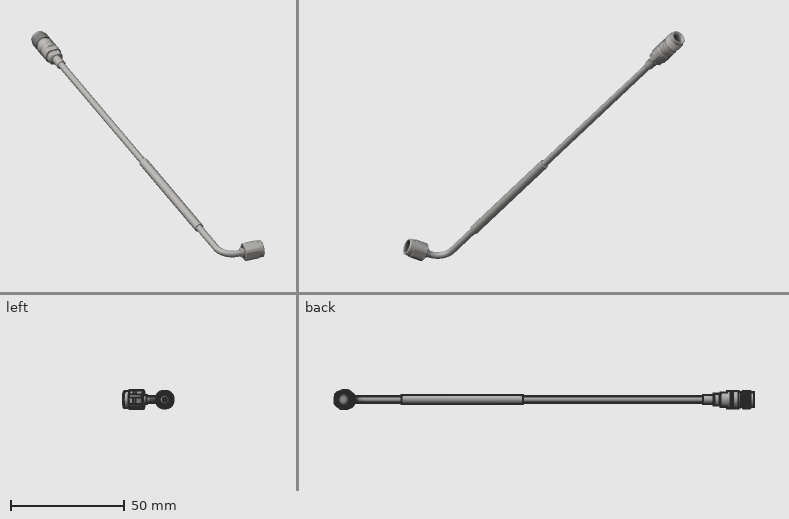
import cadquery as cq
import math


OVERALL_LENGTH = 185.7

CABLE_RADIUS = 1.5
BEND_RADIUS = 8.0
BEND_ANGLE = 82.5

SLEEVE_START = 102.3
SLEEVE_END = 156.0
SLEEVE_RADIUS = 2.0

JACK_RIM_RADIUS = 3.3
JACK_RIM_LENGTH = 1.7
RING_OUTER_RADIUS = 3.9
RING_ROOT_RADIUS = 3.5
RING_COUNT = 6
RING_PITCH = 0.5
RING_END = JACK_RIM_LENGTH + RING_COUNT * RING_PITCH
NECK_RADIUS = 3.0
NECK_END = 5.8
COLLAR_FRONT_RADIUS = 3.3
COLLAR_BACK_RADIUS = 3.5
COLLAR_END = 6.9
BARREL_RADIUS = 3.9
BARREL_END = 14.9
BARREL_GROOVE_START = 9.3
BARREL_GROOVE_END = 10.4
BARREL_GROOVE_DEPTH = 0.28
BARREL_FLAT_START = 12.0
BARREL_ACROSS_FLATS = 6.5
BACK_NUT_RADIUS = 3.3
BACK_NUT_NECK_RADIUS = 2.6
BACK_NUT_START = 15.5
BACK_NUT_END = 18.0
BACK_NUT_CHAMFER = 0.5
BACK_NUT_ACROSS_FLATS = 5.4
JACK_TUBE_RADIUS = 2.0
JACK_END = 22.7
SOCKET_RADIUS = 2.2
SOCKET_DEPTH = 4.6
SOCKET_MOUTH_CHAMFER = 0.5
CONTACT_HOLE_RADIUS = 0.7
CONTACT_HOLE_DEPTH = 2.8

PLUG_START = 1.0
PLUG_RADIUS = 2.0
NUT_START = 2.5
HEX_END = 8.5
NUT_END = 11.1
HEX_SIDES = 6
FLAT_SPACING = 360 / HEX_SIDES
HEX_ACROSS_FLATS = 8.0
HEX_CORNER_RADIUS = 4.3
HEX_TURN = 23.0
NUT_RIM_DIAMETER = 7.6
NUT_BORE_RADIUS = 3.0
NUT_GROOVE_DIAMETER = 7.2
NUT_GROOVE_START = 5.5
NUT_GROOVE_END = 6.7
NUT_BACK_CHAMFER = 0.4
NUT_TIP_CHAMFER = 0.4
PLUG_SHOULDER_LENGTH = 2.8

CABLE_START = BACK_NUT_END
CABLE_END = NUT_START
BEND_TURN = math.radians(BEND_ANGLE)
FLAT_HALF_ANGLE = math.acos(HEX_ACROSS_FLATS / 2 / HEX_CORNER_RADIUS)
CORNER_ANGLE = math.radians(HEX_TURN + FLAT_SPACING) + FLAT_HALF_ANGLE
CORNER_REACH = HEX_CORNER_RADIUS * math.sin(CORNER_ANGLE)
BEND_END_X = OVERALL_LENGTH - HEX_END * math.cos(BEND_TURN) - CORNER_REACH * math.sin(BEND_TURN)
BEND_END_Y = BEND_RADIUS * (1 - math.cos(BEND_TURN))
BEND_START = BEND_END_X - BEND_RADIUS * math.sin(BEND_TURN)


def x_cylinder(radius, start, end):
    """A cylinder on the X axis between two X positions."""
    return cq.Workplane("YZ", origin=(start, 0, 0)).circle(radius).extrude(end - start)


def plug_plane(distance):
    """The plane square to the plug axis, at a distance past the end of the bend."""
    along = cq.Vector(math.cos(BEND_TURN), math.sin(BEND_TURN), 0)
    origin = cq.Vector(BEND_END_X, BEND_END_Y, 0) + along * distance
    return cq.Plane(origin=origin, xDir=(0, 0, 1), normal=along)


def plug_cylinder(radius, start, end):
    """A cylinder on the plug axis between two distances past the bend."""
    return cq.Workplane(plug_plane(start)).circle(radius).extrude(end - start)


def make_cable():
    """One round cable: straight run, bend, and a short end inside the plug."""
    path = (
        cq.Workplane("XY")
        .moveTo(CABLE_START, 0)
        .lineTo(BEND_START, 0)
        .radiusArc((BEND_END_X, BEND_END_Y), -BEND_RADIUS)
        .polarLine(CABLE_END, BEND_ANGLE)
    )
    return cq.Workplane("YZ", origin=(CABLE_START, 0, 0)).circle(CABLE_RADIUS).sweep(path)


def make_sleeve():
    """The marker sleeve, a tube fitted round the cable."""
    tube = x_cylinder(SLEEVE_RADIUS, SLEEVE_START, SLEEVE_END)
    return tube.cut(x_cylinder(CABLE_RADIUS, SLEEVE_START, SLEEVE_END))


def cut_flats(body, radius, across_flats, start, end):
    """Cut a pair of flats, square to Z, from X = start to X = end."""
    length = end - start
    height = across_flats / 2
    depth = radius - height
    middle_x = (start + end) / 2
    for side in (1, -1):
        cutter = cq.Workplane("XY").box(length, 2 * radius, depth)
        body = body.cut(cutter.translate((middle_x, 0, side * (height + depth / 2))))
    return body


def make_ringed_front():
    """The front of the jack: plain rim, V-shaped rings, neck and collar."""
    profile = cq.Workplane("XY").moveTo(0, 0).lineTo(0, JACK_RIM_RADIUS)
    profile = profile.lineTo(JACK_RIM_LENGTH, JACK_RIM_RADIUS)
    for i in range(RING_COUNT):
        ring_start = JACK_RIM_LENGTH + i * RING_PITCH
        profile = profile.lineTo(ring_start, RING_ROOT_RADIUS)
        profile = profile.lineTo(ring_start + RING_PITCH / 2, RING_OUTER_RADIUS)
    profile = profile.lineTo(RING_END, RING_ROOT_RADIUS).lineTo(RING_END, NECK_RADIUS)
    profile = profile.lineTo(NECK_END, NECK_RADIUS).lineTo(NECK_END, COLLAR_FRONT_RADIUS)
    profile = profile.lineTo(COLLAR_END, COLLAR_BACK_RADIUS).lineTo(COLLAR_END, 0).close()
    return profile.revolve(360, (0, 0, 0), (1, 0, 0))


def make_barrel():
    """The main barrel with a shallow V groove and two wrench flats."""
    barrel = x_cylinder(BARREL_RADIUS, COLLAR_END, BARREL_END)
    middle = (BARREL_GROOVE_START + BARREL_GROOVE_END) / 2
    groove = (
        cq.Workplane("XY")
        .moveTo(BARREL_GROOVE_START, BARREL_RADIUS)
        .lineTo(middle, BARREL_RADIUS - BARREL_GROOVE_DEPTH)
        .lineTo(BARREL_GROOVE_END, BARREL_RADIUS)
        .close()
        .revolve(360, (0, 0, 0), (1, 0, 0))
    )
    barrel = barrel.cut(groove)
    return cut_flats(barrel, BARREL_RADIUS, BARREL_ACROSS_FLATS, BARREL_FLAT_START, BARREL_END)


def make_back_nut():
    """The stepped back of the jack with its own pair of flats."""
    back = x_cylinder(BACK_NUT_RADIUS, BACK_NUT_START, BACK_NUT_END)
    back = back.faces(">X").chamfer(BACK_NUT_CHAMFER)
    back = cut_flats(back, BACK_NUT_RADIUS, BACK_NUT_ACROSS_FLATS, BACK_NUT_START, BACK_NUT_END)
    return back.union(x_cylinder(BACK_NUT_NECK_RADIUS, BARREL_END, BACK_NUT_START))


def make_jack():
    """The straight jack, open at the front and holding the cable at the back."""
    jack = make_ringed_front().union(make_barrel()).union(make_back_nut())
    jack = jack.union(x_cylinder(JACK_TUBE_RADIUS, BACK_NUT_END, JACK_END))
    contact_end = SOCKET_DEPTH + CONTACT_HOLE_DEPTH
    socket_mouth_radius = SOCKET_RADIUS + SOCKET_MOUTH_CHAMFER
    mouth = cq.Solid.makeCone(
        socket_mouth_radius, SOCKET_RADIUS, SOCKET_MOUTH_CHAMFER, dir=cq.Vector(1, 0, 0)
    )
    jack = jack.cut(mouth)
    jack = jack.cut(x_cylinder(SOCKET_RADIUS, 0, SOCKET_DEPTH))
    jack = jack.cut(x_cylinder(CONTACT_HOLE_RADIUS, SOCKET_DEPTH, contact_end))
    return jack.cut(x_cylinder(CABLE_RADIUS, CABLE_START, JACK_END))


def make_plug():
    """The plug body: a tube round the cable end and a shoulder inside the nut."""
    shoulder_end = NUT_START + PLUG_SHOULDER_LENGTH
    plug = plug_cylinder(PLUG_RADIUS, PLUG_START, NUT_START)
    plug = plug.union(plug_cylinder(NUT_BORE_RADIUS, NUT_START, shoulder_end))
    return plug.cut(plug_cylinder(CABLE_RADIUS, PLUG_START, CABLE_END))


def make_coupling_nut():
    """The coupling nut: a hexagon with turned corners and a round front rim."""
    hex_length = HEX_END - NUT_START
    corner_diameter = HEX_ACROSS_FLATS / math.cos(math.pi / HEX_SIDES)
    hex_plane = plug_plane(NUT_START).rotated((0, 0, HEX_TURN + FLAT_SPACING / 2))
    hexagon = cq.Workplane(hex_plane).polygon(HEX_SIDES, corner_diameter).extrude(hex_length)
    turned_blank = plug_cylinder(HEX_CORNER_RADIUS, NUT_START, HEX_END)
    turned_blank = turned_blank.faces("<Y").chamfer(NUT_BACK_CHAMFER)
    hexagon = hexagon.intersect(turned_blank)
    rim = plug_cylinder(NUT_RIM_DIAMETER / 2, HEX_END, NUT_END)
    rim = rim.faces(">Y").chamfer(NUT_TIP_CHAMFER)
    nut = hexagon.union(rim).cut(plug_cylinder(NUT_BORE_RADIUS, NUT_START, NUT_END))
    return nut.cut(plug_cylinder(NUT_GROOVE_DIAMETER / 2, NUT_GROOVE_START, NUT_GROOVE_END))


cable = make_cable()
sleeve = make_sleeve()
jack = make_jack()
plug = make_plug()
coupling_nut = make_coupling_nut()

result = cq.Compound.makeCompound(
    [cable.val(), sleeve.val(), jack.val(), plug.val(), coupling_nut.val()]
)